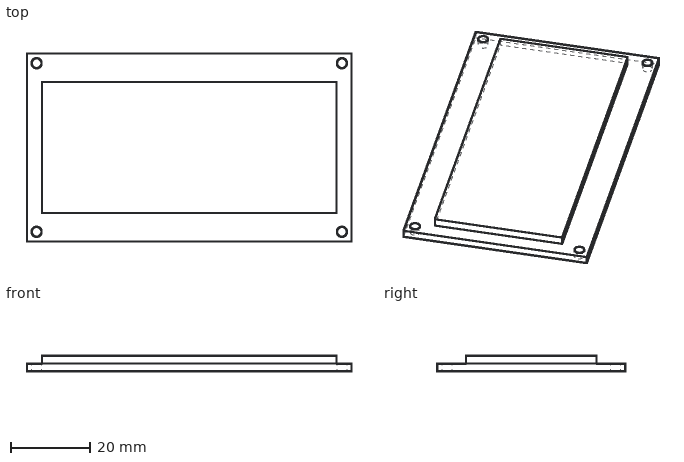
import cadquery as cq

plate_length = 82.0
plate_width = 47.5
total_height = 4.0
plate_thickness = 2.0

panel_length = 74.4
panel_width = 33.0
panel_thickness = total_height - plate_thickness

hole_diameter = 2.5
hole_edge_distance = 2.5
hole_spacing_x = plate_length - 2 * hole_edge_distance
hole_spacing_y = plate_width - 2 * hole_edge_distance

plate = (
    cq.Workplane("XY")
    .rect(plate_length, plate_width)
    .extrude(plate_thickness)
    .faces(">Z")
    .workplane()
    .rect(hole_spacing_x, hole_spacing_y, forConstruction=True)
    .vertices()
    .hole(hole_diameter)
)

panel = (
    cq.Workplane("XY")
    .workplane(offset=plate_thickness)
    .rect(panel_length, panel_width)
    .extrude(panel_thickness)
)

result = plate.union(panel)